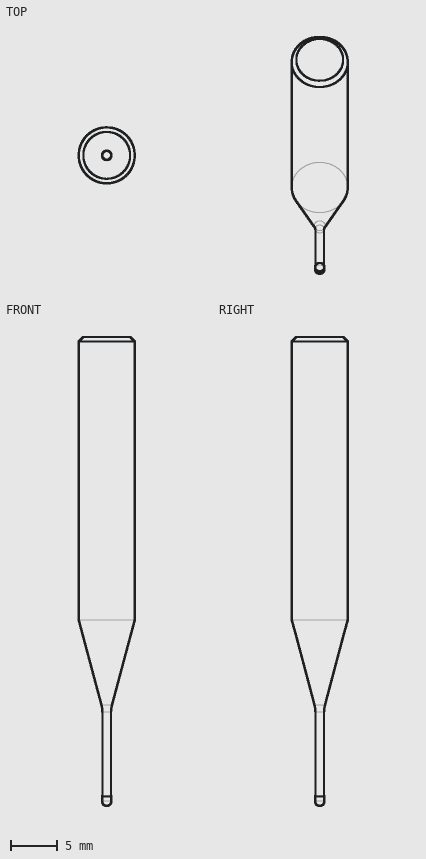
import cadquery as cq
import math

total_length = 50.0
shank_diameter = 6.0
shank_chamfer = 0.5
cutter_diameter = 1.0
cutter_length = 1.0
neck_diameter = 0.95
neck_top_z = 10.0
taper_angle = math.radians(15.0)
blend_radius = 3.0

shank_radius = shank_diameter / 2
cutter_radius = cutter_diameter / 2
neck_radius = neck_diameter / 2
relief_top_z = cutter_length + (cutter_radius - neck_radius) / math.tan(taper_angle)


def blend_point(angle):
    """Radius and height on the neck blend after it has turned by the given angle."""
    radius = neck_radius + blend_radius * (1 - math.cos(angle))
    return radius, neck_top_z + blend_radius * math.sin(angle)


def revolve_profile(profile):
    """Turn a closed XZ half profile into a solid about the Z axis."""
    return profile.close().revolve(360, (0, 0, 0), (0, 1, 0))


def make_cutter():
    """Ball-nosed cutting head with a short cylindrical land."""
    arc_offset = cutter_radius * math.sin(math.radians(45))
    profile = (
        cq.Workplane("XZ")
        .moveTo(0, 0)
        .threePointArc((arc_offset, cutter_radius - arc_offset), (cutter_radius, cutter_radius))
        .lineTo(cutter_radius, cutter_length)
        .lineTo(0, cutter_length)
    )
    return revolve_profile(profile)


def make_shank():
    """Chamfered shank whose cone blends into the relieved neck."""
    blend_middle = blend_point(taper_angle / 2)
    blend_end = blend_point(taper_angle)
    cone_top_z = blend_end[1] + (shank_radius - blend_end[0]) / math.tan(taper_angle)
    profile = (
        cq.Workplane("XZ")
        .moveTo(0, cutter_length)
        .lineTo(cutter_radius, cutter_length)
        .lineTo(neck_radius, relief_top_z)
        .lineTo(neck_radius, neck_top_z)
        .threePointArc(blend_middle, blend_end)
        .lineTo(shank_radius, cone_top_z)
        .lineTo(shank_radius, total_length - shank_chamfer)
        .lineTo(shank_radius - shank_chamfer, total_length)
        .lineTo(0, total_length)
    )
    return revolve_profile(profile)


cutter = make_cutter()
shank = make_shank()

result = cq.Compound.makeCompound([cutter.val(), shank.val()])